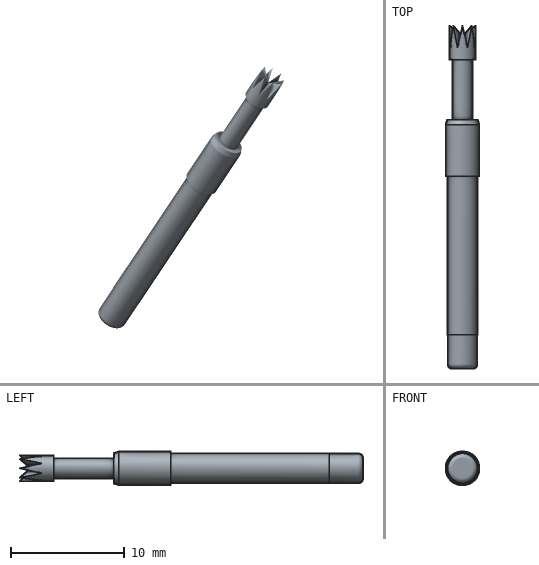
import cadquery as cq
import math

total_length = 30.3

head_diameter = 2.3
head_length = 3.0
rod_diameter = 1.8

head_to_collar = 8.3
collar_diameter = 3.0
collar_length = 5.0
taper_length = 0.45
taper_front_diameter = 2.7

barrel_diameter = 2.68
cap_diameter = 2.64
cap_length = 3.0
cap_fillet = 0.45

tooth_count = 8
tooth_height = 1.9
cutter_overrun = 1.0
blank_allowance = 0.1

collar_front = collar_length
tip_y = collar_front + head_to_collar
head_back = tip_y - head_length
barrel_end = tip_y - total_length
cap_front = barrel_end + cap_length


def cylinder(diameter, y_start, y_end):
    """Round bar on the Y axis between two stations."""
    plane = cq.Plane(origin=(0, y_start, 0), xDir=(1, 0, 0), normal=(0, 1, 0))
    return cq.Workplane(plane).circle(diameter / 2).extrude(y_end - y_start)


def make_collar():
    """Collar with a conical lead-in on its front end."""
    profile = [
        (0, 0),
        (collar_diameter / 2, 0),
        (collar_diameter / 2, collar_front - taper_length),
        (taper_front_diameter / 2, collar_front),
        (0, collar_front),
    ]
    return cq.Workplane("XY").polyline(profile).close().revolve(360, (0, 0, 0), (0, 1, 0))


def make_cap():
    """Barrel end cap with a rounded rim."""
    return cylinder(cap_diameter, barrel_end, cap_front).faces("<Y").edges().fillet(cap_fillet)


def make_valley_cutter(angle):
    """V-shaped prism whose root line slopes from the crown centre down to a valley."""
    half_pitch = math.pi / tooth_count
    slope = math.atan2(tooth_height / 2, head_diameter / 2)
    flank_ratio = math.sin(half_pitch) / (math.sin(slope) * (1 + math.cos(half_pitch)))

    root_direction = cq.Vector(
        math.cos(slope) * math.cos(angle),
        -math.sin(slope),
        math.cos(slope) * math.sin(angle),
    )
    sideways = cq.Vector(math.sin(angle), 0, -math.cos(angle))
    crown_centre = cq.Vector(0, tip_y - tooth_height / 2, 0)

    reach = head_diameter + cutter_overrun
    plane = cq.Plane(origin=crown_centre, xDir=sideways, normal=root_direction)
    half_width = reach * flank_ratio
    opening = [(0, 0), (half_width, reach), (-half_width, reach)]
    return cq.Workplane(plane).polyline(opening).close().extrude(reach, both=True)


def make_head():
    """Head with a crown of pointed teeth, tips on the outer surface."""
    head = cylinder(head_diameter, head_back, tip_y + blank_allowance)
    pitch = 2 * math.pi / tooth_count
    for index in range(tooth_count):
        head = head.cut(make_valley_cutter((index + 0.5) * pitch))
    return head


result = (
    cylinder(barrel_diameter, cap_front, 0)
    .union(make_cap())
    .union(make_collar())
    .union(cylinder(rod_diameter, collar_front, head_back))
    .union(make_head())
)